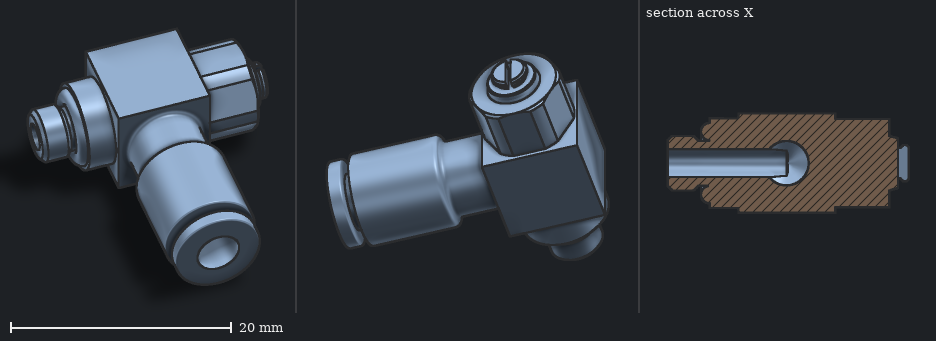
import cadquery as cq
import math


BODY_WIDTH = 9.0
BODY_BACK = 4.43
BODY_FRONT = -4.32
RIM_INSET = 0.5
RIM_HEIGHT = 0.1

TIP_Y = -10.75
NUT_RADIUS = 4.08
NUT_TO_TIP = 3.8
NUT_Y = TIP_Y + NUT_TO_TIP
THREAD_RADIUS = 2.48
THREAD_CHAMFER = 0.4
THREAD_LENGTH = 2.35
NECK_RADIUS = 2.05
SEAL_OUTER_RADIUS = 3.65
SEAL_SECTION_RADIUS = (SEAL_OUTER_RADIUS - NECK_RADIUS) / 2

HEX_FLATS = 8.0
HEX_CORNER_RADIUS = 4.275
HEX_LENGTH = 4.88
HEX_Y = BODY_BACK + HEX_LENGTH
HEX_CHAMFER_WIDTH = 0.28
HEX_CHAMFER_HEIGHT = 0.2

COLLAR_Y = 10.11
COLLAR_BASE_RADIUS = 2.5
COLLAR_FOOT_HEIGHT = 0.26
COLLAR_WAIST_RADIUS = 2.4
COLLAR_TOP_RADIUS = 2.3
COLLAR_CHAMFER = 0.1
SCREW_Y = 11.07
SCREW_HEAD_RADIUS = 1.67
SCREW_HEAD_CHAMFER = 0.2
SCREW_HEAD_HEIGHT = 0.52
SCREW_NECK_RADIUS = 1.4
SCREW_NECK_HEIGHT = 0.2
SCREW_NECK_Y = COLLAR_Y + SCREW_NECK_HEIGHT
SLOT_WIDTH = 0.5

BRANCH_RADIUS = 3.5
ROOT_FILLET = 0.5
SLEEVE_RADIUS = 4.3
SLEEVE_START_X = 9.33
SLEEVE_END_X = 17.23
SLEEVE_FILLET = 0.2
BLEND_RADIUS = 0.5
RELEASE_NECK_RADIUS = 2.62
RELEASE_RADIUS = 4.05
RELEASE_START_X = 18.02
RELEASE_END_X = 19.35
RELEASE_FILLET = 0.2

PORT_RADIUS = 1.25
PORT_END_Y = 0.0
TUBE_BORE_RADIUS = 2.0
TUBE_BORE_END_X = 0.0
DRILL_HALF_ANGLE = 60.0

X_AXIS = (1, 0, 0)
Y_AXIS = (0, 1, 0)
ORIGIN = (0, 0, 0)
FULL_TURN = 360
HEX_SIDES = 6


def revolve_about_y(profile):
    return profile.close().revolve(FULL_TURN, ORIGIN, Y_AXIS)


def revolve_about_x(profile):
    return profile.close().revolve(FULL_TURN, ORIGIN, X_AXIS)


def make_body():
    """Square block with a shallow bevelled rim on its -Y face."""
    block = (
        cq.Workplane("XZ", origin=(0, BODY_BACK, 0))
        .rect(BODY_WIDTH, BODY_WIDTH)
        .extrude(BODY_BACK - BODY_FRONT)
    )
    rim_taper = math.degrees(math.atan2(RIM_INSET, RIM_HEIGHT))
    rim = (
        cq.Workplane("XZ", origin=(0, BODY_FRONT, 0))
        .rect(BODY_WIDTH, BODY_WIDTH)
        .extrude(RIM_HEIGHT, taper=rim_taper)
    )
    return block.union(rim)


def make_threaded_end():
    """Round nut, relieved neck and thread blank, with an O-ring half sunk in the nut."""
    shoulder_y = TIP_Y + THREAD_LENGTH
    cone_height = THREAD_RADIUS - NECK_RADIUS
    profile = (
        cq.Workplane("XY")
        .moveTo(0, TIP_Y)
        .lineTo(THREAD_RADIUS - THREAD_CHAMFER, TIP_Y)
        .lineTo(THREAD_RADIUS, TIP_Y + THREAD_CHAMFER)
        .lineTo(THREAD_RADIUS, shoulder_y)
        .lineTo(NECK_RADIUS, shoulder_y + cone_height)
        .lineTo(NECK_RADIUS, NUT_Y)
        .lineTo(NUT_RADIUS, NUT_Y)
        .lineTo(NUT_RADIUS, BODY_BACK)
        .lineTo(0, BODY_BACK)
    )
    seal_centre = SEAL_OUTER_RADIUS - SEAL_SECTION_RADIUS
    seal_ring = cq.Solid.makeTorus(
        seal_centre, SEAL_SECTION_RADIUS, cq.Vector(0, NUT_Y, 0), cq.Vector(*Y_AXIS)
    )
    return revolve_about_y(profile).union(cq.Workplane(obj=seal_ring))


def make_hexagon():
    """Hexagon with flats on +Z and -Z, trimmed by a chamfered cylinder."""
    sharp_corner_diameter = HEX_FLATS / math.cos(math.pi / HEX_SIDES)
    prism = (
        cq.Workplane("XZ", origin=(0, HEX_Y, 0))
        .polygon(HEX_SIDES, sharp_corner_diameter)
        .extrude(HEX_Y)
    )
    envelope = (
        cq.Workplane("XY")
        .lineTo(HEX_CORNER_RADIUS, 0)
        .lineTo(HEX_CORNER_RADIUS, HEX_Y - HEX_CHAMFER_HEIGHT)
        .lineTo(HEX_CORNER_RADIUS - HEX_CHAMFER_WIDTH, HEX_Y)
        .lineTo(0, HEX_Y)
    )
    return prism.intersect(revolve_about_y(envelope))


def make_screw():
    """Tapered collar with a flared foot, carrying the slotted screw head."""
    profile = (
        cq.Workplane("XY")
        .lineTo(COLLAR_BASE_RADIUS, 0)
        .lineTo(COLLAR_BASE_RADIUS, HEX_Y)
        .lineTo(COLLAR_WAIST_RADIUS, HEX_Y + COLLAR_FOOT_HEIGHT)
        .lineTo(COLLAR_TOP_RADIUS, COLLAR_Y - COLLAR_CHAMFER)
        .lineTo(COLLAR_TOP_RADIUS - COLLAR_CHAMFER, COLLAR_Y)
        .lineTo(SCREW_NECK_RADIUS, COLLAR_Y)
        .lineTo(SCREW_NECK_RADIUS, SCREW_NECK_Y)
        .lineTo(SCREW_HEAD_RADIUS, SCREW_Y - SCREW_HEAD_HEIGHT)
        .lineTo(SCREW_HEAD_RADIUS, SCREW_Y - SCREW_HEAD_CHAMFER)
        .lineTo(SCREW_HEAD_RADIUS - SCREW_HEAD_CHAMFER, SCREW_Y)
        .lineTo(0, SCREW_Y)
    )
    slot_depth = SCREW_Y - COLLAR_Y
    slot = cq.Workplane("XY").box(SLOT_WIDTH, slot_depth, 2 * SCREW_HEAD_RADIUS)
    return revolve_about_y(profile).cut(slot.translate((0, COLLAR_Y + slot_depth / 2, 0)))


def make_branch():
    """Tube branch with a flared root, an S-blend up to the sleeve and a release collar."""
    root_x = BODY_WIDTH / 2
    arc_rise = (SLEEVE_RADIUS - BRANCH_RADIUS) / 2
    arc_angle = math.acos((BLEND_RADIUS - arc_rise) / BLEND_RADIUS)
    arc_run = BLEND_RADIUS * math.sin(arc_angle)
    blend_x = SLEEVE_START_X - 2 * arc_run
    middle = (SLEEVE_START_X - arc_run, BRANCH_RADIUS + arc_rise)
    profile = (
        cq.Workplane("XY")
        .lineTo(0, BRANCH_RADIUS + ROOT_FILLET)
        .lineTo(root_x, BRANCH_RADIUS + ROOT_FILLET)
        .radiusArc((root_x + ROOT_FILLET, BRANCH_RADIUS), -ROOT_FILLET)
        .lineTo(blend_x, BRANCH_RADIUS)
        .radiusArc(middle, -BLEND_RADIUS)
        .radiusArc((SLEEVE_START_X, SLEEVE_RADIUS), BLEND_RADIUS)
        .lineTo(SLEEVE_END_X - SLEEVE_FILLET, SLEEVE_RADIUS)
        .radiusArc((SLEEVE_END_X, SLEEVE_RADIUS - SLEEVE_FILLET), SLEEVE_FILLET)
        .lineTo(SLEEVE_END_X, RELEASE_NECK_RADIUS)
        .lineTo(RELEASE_START_X, RELEASE_NECK_RADIUS)
        .lineTo(RELEASE_START_X, RELEASE_RADIUS - RELEASE_FILLET)
        .radiusArc((RELEASE_START_X + RELEASE_FILLET, RELEASE_RADIUS), RELEASE_FILLET)
        .lineTo(RELEASE_END_X - RELEASE_FILLET, RELEASE_RADIUS)
        .radiusArc((RELEASE_END_X, RELEASE_RADIUS - RELEASE_FILLET), RELEASE_FILLET)
        .lineTo(RELEASE_END_X, 0)
    )
    return revolve_about_x(profile)


def point_depth(radius):
    """Depth of the conical point left by a drill of the given radius."""
    return radius / math.tan(math.radians(DRILL_HALF_ANGLE))


def make_port_bore():
    """Drilled bore from the threaded tip, its full diameter ending at the tube axis."""
    profile = (
        cq.Workplane("XY")
        .moveTo(0, TIP_Y)
        .lineTo(PORT_RADIUS, TIP_Y)
        .lineTo(PORT_RADIUS, PORT_END_Y)
        .lineTo(0, PORT_END_Y + point_depth(PORT_RADIUS))
    )
    return revolve_about_y(profile)


def make_tube_bore():
    """Drilled bore from the release collar, its full diameter ending at the valve axis."""
    profile = (
        cq.Workplane("XY")
        .moveTo(TUBE_BORE_END_X - point_depth(TUBE_BORE_RADIUS), 0)
        .lineTo(TUBE_BORE_END_X, TUBE_BORE_RADIUS)
        .lineTo(RELEASE_END_X, TUBE_BORE_RADIUS)
        .lineTo(RELEASE_END_X, 0)
    )
    return revolve_about_x(profile)


result = make_body()
for piece in (make_threaded_end(), make_hexagon(), make_screw(), make_branch()):
    result = result.union(piece)
for bore in (make_port_bore(), make_tube_bore()):
    result = result.cut(bore)